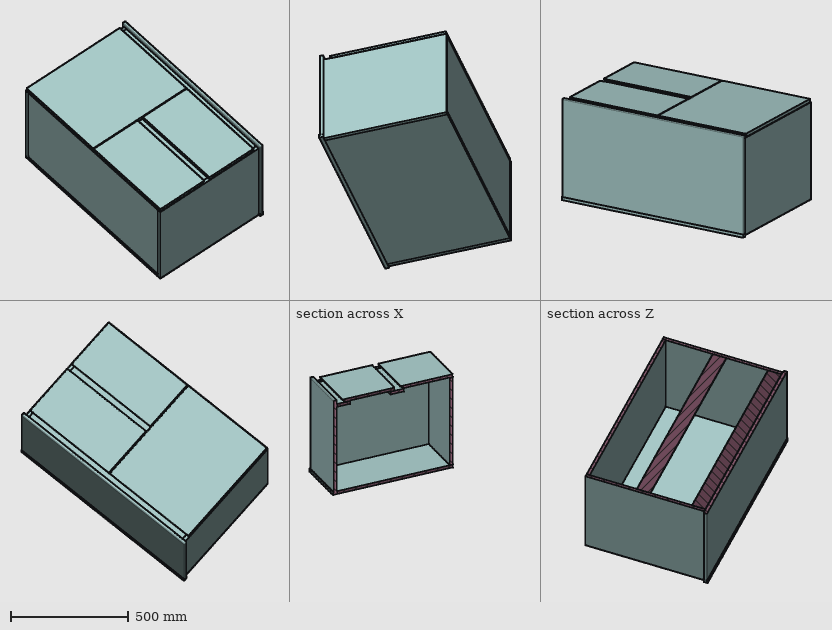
import cadquery as cq


WORKTOP_WIDTH = 910.0
TOTAL_HEIGHT = 569.0
WORKTOP_DEPTH = 460.0

OVERHANG = 10.0
BOARD = 16.0
CARCASS_HEIGHT = 551.0
CARCASS_DEPTH = 441.0
CARCASS_WIDTH = WORKTOP_WIDTH - 2 * OVERHANG
INNER_WIDTH = CARCASS_WIDTH - 2 * BOARD

LIP_RISE = 3.0
LIP_WIDTH = 15.0
EDGE_RADIUS = 3.0
WORKTOP_SURFACE = TOTAL_HEIGHT - LIP_RISE

FRONT_THICKNESS = 15.5
FRONT_MARGIN = 3.0
FRONT_GAP = 4.0
DOOR_FINGER_GAP = 25.5
DRAWER_FINGER_GAP = 28.0
GRIP_LAND = 3.0
GRIP_BEVEL = FRONT_THICKNESS - GRIP_LAND
FRONT_WIDTH = (CARCASS_WIDTH - 2 * FRONT_MARGIN - FRONT_GAP) / 2
FRONT_CENTRE_X = (FRONT_WIDTH + FRONT_GAP) / 2
DOOR_TOP = CARCASS_HEIGHT - DOOR_FINGER_GAP
DOOR_HEIGHT = DOOR_TOP - FRONT_MARGIN
DRAWER_HEIGHT = (DOOR_HEIGHT - DRAWER_FINGER_GAP) / 2

RAIL_WIDTH = 64.0
LOWER_DRAWER_TOP = FRONT_MARGIN + DRAWER_HEIGHT
MIDDLE_RAIL_BOTTOM = LOWER_DRAWER_TOP + (DRAWER_FINGER_GAP - RAIL_WIDTH) / 2


def board(width, height, depth, bottom, back, centre_x=0):
    """A plain board standing on Y = bottom with its rear face at Z = back."""
    return (
        cq.Workplane("XY")
        .box(width, height, depth, centered=(True, False, False))
        .translate((centre_x, bottom, back))
    )


def side_panel(side):
    centre_x = side * (CARCASS_WIDTH - BOARD) / 2
    return board(BOARD, CARCASS_HEIGHT, CARCASS_DEPTH, 0, 0, centre_x)


def back_panel():
    return board(INNER_WIDTH, CARCASS_HEIGHT, BOARD, 0, 0)


def bottom_panel():
    return board(INNER_WIDTH, BOARD, CARCASS_DEPTH - BOARD, 0, BOARD)


def rail(bottom):
    return board(INNER_WIDTH, RAIL_WIDTH, BOARD, bottom, CARCASS_DEPTH - BOARD)


def front(side, bottom, height):
    """A door or drawer front whose upper edge is undercut as a finger grip."""
    inner = CARCASS_DEPTH
    outer = CARCASS_DEPTH + FRONT_THICKNESS
    top = bottom + height
    profile = [
        (bottom, inner),
        (bottom, outer),
        (top, outer),
        (top, outer - GRIP_LAND),
        (top - GRIP_BEVEL, inner),
    ]
    return (
        cq.Workplane("YZ")
        .polyline(profile)
        .close()
        .extrude(FRONT_WIDTH / 2, both=True)
        .translate((side * FRONT_CENTRE_X, 0, 0))
    )


def worktop():
    """A slab, rounded on every edge except those of its rear face, with a raised lip along the back."""
    thickness = WORKTOP_SURFACE - CARCASS_HEIGHT
    slab = board(WORKTOP_WIDTH, thickness, WORKTOP_DEPTH, CARCASS_HEIGHT, 0)
    exposed_edges = slab.edges("(>Z or <X or >X) and (not <Z)")
    slab = exposed_edges.fillet(EDGE_RADIUS)
    lip = board(WORKTOP_WIDTH, thickness + LIP_RISE, LIP_WIDTH, CARCASS_HEIGHT, 0)
    return slab.union(lip)


side_panels = [side_panel(side) for side in (-1, 1)]
rails = [rail(bottom) for bottom in (MIDDLE_RAIL_BOTTOM, CARCASS_HEIGHT - RAIL_WIDTH)]
door = front(-1, FRONT_MARGIN, DOOR_HEIGHT)
drawer_fronts = [
    front(1, bottom, DRAWER_HEIGHT)
    for bottom in (FRONT_MARGIN, LOWER_DRAWER_TOP + DRAWER_FINGER_GAP)
]

result = cq.Compound.makeCompound([
    *[panel.val() for panel in side_panels],
    back_panel().val(),
    bottom_panel().val(),
    *[crosspiece.val() for crosspiece in rails],
    door.val(),
    *[drawer.val() for drawer in drawer_fronts],
    worktop().val(),
])